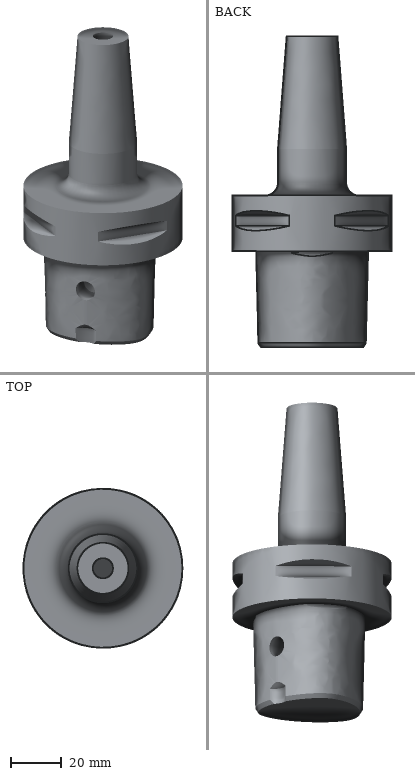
import cadquery as cq
import math

flange_diameter = 63.0
flange_height = 22.0
flange_radius = flange_diameter / 2

total_height = 123.0
neck_radius = 13.5
neck_height = 18.3
nose_tip_radius = 10.1
neck_fillet = 5.0
bore_diameter = 8.0
bore_depth = 36.9

shank_length = 38.0
shank_radius = 22.1
lobe_height = 1.5
lobe_count = 3
straight_length = 3.0
taper_slope = 1 / 40
end_chamfer_height = 1.7
end_chamfer_width = 1.1
profile_points = 72

relief_radius = 22.4
relief_land = 0.5
relief_blend = 0.6
relief_cone_angle = 45

grip_count = 4
grip_first_angle = 45
grip_floor_length = 30.0
grip_floor_height = 4.0
grip_mouth_height = 7.9
grip_center_z = 12.0

cross_hole_diameter = 8.0
cross_hole_drop = 15.4
cross_hole_depth = 9.8
cross_hole_point_angle = 118
notch_radius = 6.0
notch_axis_offset = 3.2
notch_depth = 6.0
notch_point_angle = 90

grip_floor_distance = math.sqrt(flange_radius**2 - (grip_floor_length / 2) ** 2)
nose_top_z = total_height - shank_length
neck_top_z = flange_height + neck_height
shank_end_z = -shank_length
chamfer_start_z = shank_end_z + end_chamfer_height
chamfer_start_inset = (-chamfer_start_z - straight_length) * taper_slope
flat_distance = shank_radius - lobe_height


def drill(radius, depth, point_angle):
    """Pointed drill with its mouth on Z = 0 and its tip pointing up."""
    tip_z = depth + radius / math.tan(math.radians(point_angle / 2))
    outline = [(0, 0), (radius, 0), (radius, depth), (0, tip_z)]
    return cq.Workplane("XZ").polyline(outline).close().revolve()


def flange_and_nose():
    """Flange, blend, cylindrical neck and conical nose, turned about Z."""
    middle = neck_fillet * (1 - math.sqrt(0.5))
    return (
        cq.Workplane("XZ")
        .moveTo(0, 0)
        .lineTo(flange_radius, 0)
        .lineTo(flange_radius, flange_height)
        .lineTo(neck_radius + neck_fillet, flange_height)
        .threePointArc(
            (neck_radius + middle, flange_height + middle),
            (neck_radius, flange_height + neck_fillet),
        )
        .lineTo(neck_radius, neck_top_z)
        .lineTo(nose_tip_radius, nose_top_z)
        .lineTo(0, nose_top_z)
        .close()
        .revolve()
    )


def polygon_point(angle, inset):
    """Point of the constant-width curve whose outward normal has the given angle."""
    lobe_phase = lobe_count * (angle - math.pi / 2)
    reach = shank_radius - inset + lobe_height * math.cos(lobe_phase)
    slide = -lobe_count * lobe_height * math.sin(lobe_phase)
    x = reach * math.cos(angle) - slide * math.sin(angle)
    y = reach * math.sin(angle) + slide * math.cos(angle)
    return x, y


def polygon_wire(z, inset):
    """Closed three-lobed outline at height z, with one lobe toward +Y."""
    angles = [2 * math.pi * i / profile_points - math.pi / 2 for i in range(profile_points)]
    points = [cq.Vector(*polygon_point(angle, inset), z) for angle in angles]
    return cq.Wire.assembleEdges([cq.Edge.makeSpline(points, periodic=True)])


def polygon_shank():
    """Straight collar, long taper and end chamfer, stacked downward."""
    sections = [
        (0, 0),
        (-straight_length, 0),
        (chamfer_start_z, chamfer_start_inset),
        (shank_end_z, chamfer_start_inset + end_chamfer_width),
    ]
    wires = [polygon_wire(z, inset) for z, inset in sections]
    return cq.Workplane(cq.Solid.makeLoft(wires, True))


def relief_blend_point(turn):
    """Radius and height on the relief blend after turning by the given degrees."""
    turn = math.radians(turn)
    radius = relief_radius + relief_blend * (1 - math.cos(turn))
    return radius, -relief_land - relief_blend * math.sin(turn)


def lobe_relief():
    """Ring that trims the lobe tips beside the flange."""
    cone_start_radius, cone_start_z = relief_blend_point(relief_cone_angle)
    cone_drop = (flange_radius - cone_start_radius) / math.tan(math.radians(relief_cone_angle))
    cone_end_z = cone_start_z - cone_drop
    return (
        cq.Workplane("XZ")
        .moveTo(flange_radius, 0)
        .lineTo(relief_radius, 0)
        .lineTo(relief_radius, -relief_land)
        .threePointArc(relief_blend_point(relief_cone_angle / 2), (cone_start_radius, cone_start_z))
        .lineTo(flange_radius, cone_end_z)
        .close()
        .revolve()
    )


def grip_groove():
    """Flat-bottomed groove with flared sides, cut across the +X side of the flange."""
    flare_slope = (grip_mouth_height - grip_floor_height) / 2 / (flange_radius - grip_floor_distance)
    overshoot = 1.2
    outer_x = flange_radius + overshoot
    outer_half = grip_mouth_height / 2 + overshoot * flare_slope
    floor_half = grip_floor_height / 2
    outline = [
        (grip_floor_distance, grip_center_z - floor_half),
        (outer_x, grip_center_z - outer_half),
        (outer_x, grip_center_z + outer_half),
        (grip_floor_distance, grip_center_z + floor_half),
    ]
    return cq.Workplane("XZ").polyline(outline).close().extrude(flange_radius, both=True)


def cross_hole():
    """Pointed blind hole entering the shank along +Y."""
    lead_in = shank_radius - flat_distance
    tool = drill(cross_hole_diameter / 2, cross_hole_depth + lead_in, cross_hole_point_angle)
    tool = tool.rotate((0, 0, 0), (1, 0, 0), -90)
    return tool.translate((0, -shank_radius, -cross_hole_drop))


def orientation_notch():
    """Vertical pointed notch drilled up into the edge of the shank end."""
    notch_y = -flat_distance - notch_axis_offset
    tool = drill(notch_radius, notch_depth, notch_point_angle)
    return tool.translate((0, notch_y, shank_end_z))


shank = polygon_shank().cut(lobe_relief()).cut(cross_hole()).cut(orientation_notch())

result = flange_and_nose().union(shank)
for i in range(grip_count):
    groove_angle = grip_first_angle + i * 360 / grip_count
    result = result.cut(grip_groove().rotate((0, 0, 0), (0, 0, 1), groove_angle))

bore = cq.Workplane("XY", origin=(0, 0, nose_top_z)).circle(bore_diameter / 2).extrude(-bore_depth)
result = result.cut(bore)